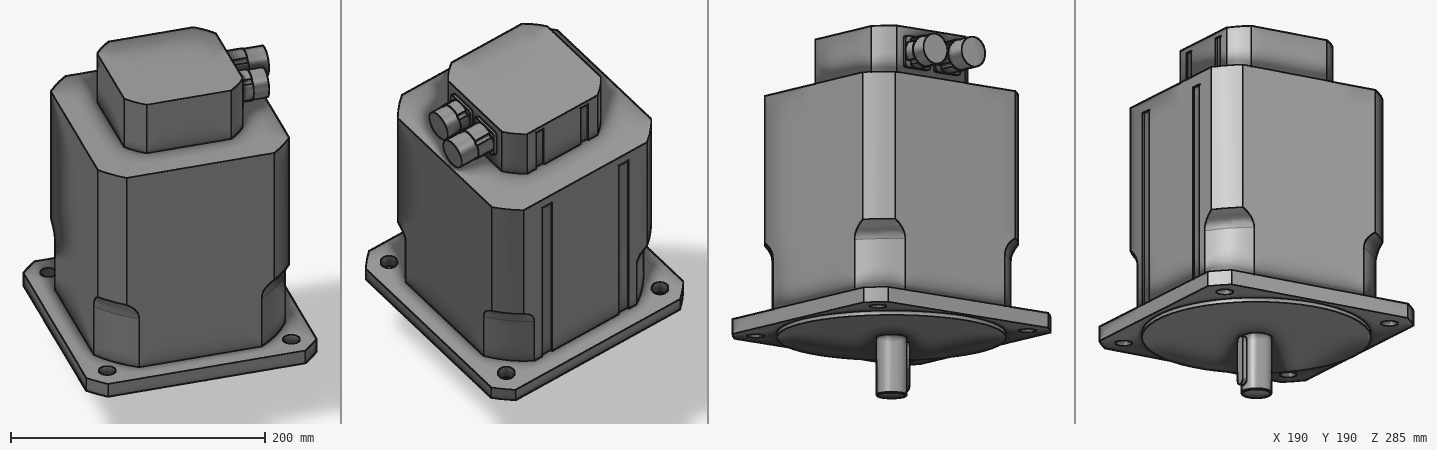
import cadquery as cq
import math

total_height = 285.0
boss_bottom = 46.7
flange_bottom = 50.2
flange_thickness = 12.0
flange_top = flange_bottom + flange_thickness
body_top = 240.0

diagonal_angle = 45

flange_width = 190.0
flange_corner_radius = 125.0
boss_diameter = 180.0
bolt_circle_radius = 107.5
bolt_hole_diameter = 13.5
bolt_count = 4

body_width = 158.0
body_corner_radius = 99.8
relief_radius = 93.8
relief_straight_top = 107.5
relief_top = 122.0

cap_width = 98.0
cap_corner_radius = 60.0

strip_depth = 1.5
body_strip_width = 10.0
body_strip_offset = 38.0
body_strip_top_gap = 9.0
cap_strip_width = 7.5
cap_strip_offset = 22.0
cap_strip_top_gap = 4.3

shaft_diameter = 24.0
shaft_chamfer = 0.9
key_width = 8.0
key_length = 40.0
key_bottom = 5.5
key_reach = 15.0

connector_height = 265.0
ring_diameter = 25.0
base_width = ring_diameter
base_thickness = 2.5
base_corner_radius = 2.7
sleeve_diameter = 24.0
groove_diameter = 4.0
groove_count = 4
connector_spacing = 30.8
long_ring_length = 14.8
long_sleeve_length = 16.5
short_ring_length = 8.8
short_sleeve_length = 12.8


def rounded_square(width, corner_radius, bottom, top):
    """Square prism whose corners are cut by a cylinder about Z."""
    height = top - bottom
    square = cq.Workplane("XY").workplane(offset=bottom).rect(width, width).extrude(height)
    cylinder = cq.Workplane("XY").workplane(offset=bottom).circle(corner_radius).extrude(height)
    return square.intersect(cylinder)


def make_flange():
    flange = rounded_square(flange_width, flange_corner_radius, flange_bottom, flange_top)
    boss = (
        cq.Workplane("XY")
        .workplane(offset=boss_bottom)
        .circle(boss_diameter / 2)
        .extrude(flange_bottom - boss_bottom)
    )
    bolt_holes = (
        cq.Workplane("XY")
        .workplane(offset=flange_bottom)
        .polarArray(bolt_circle_radius, diagonal_angle, 360, bolt_count)
        .circle(bolt_hole_diameter / 2)
        .extrude(flange_thickness)
    )
    return flange.union(boss).cut(bolt_holes)


def make_body():
    """Square body cut by a revolved profile that steps in through a concave arc."""
    step_depth = body_corner_radius - relief_radius
    step_height = relief_top - relief_straight_top
    arc_radius = (step_depth**2 + step_height**2) / (2 * step_depth)
    half_angle = math.asin(step_height / arc_radius) / 2
    arc_middle = (
        relief_radius + arc_radius * (1 - math.cos(half_angle)),
        relief_straight_top + arc_radius * math.sin(half_angle),
    )
    envelope = (
        cq.Workplane("XZ")
        .moveTo(0, flange_top)
        .lineTo(relief_radius, flange_top)
        .lineTo(relief_radius, relief_straight_top)
        .threePointArc(arc_middle, (body_corner_radius, relief_top))
        .lineTo(body_corner_radius, body_top)
        .lineTo(0, body_top)
        .close()
        .revolve(360, (0, 0, 0), (0, 1, 0))
    )
    square = (
        cq.Workplane("XY")
        .workplane(offset=flange_top)
        .rect(body_width, body_width)
        .extrude(body_top - flange_top)
    )
    return square.intersect(envelope)


def make_strips(block_width, strip_width, offset, bottom, top):
    """Cutters for a pair of flat vertical strips in the -X face of a square block."""
    return (
        cq.Workplane("YZ")
        .workplane(offset=-block_width / 2)
        .pushPoints([(side * offset, (bottom + top) / 2) for side in (-1, 1)])
        .rect(strip_width, top - bottom)
        .extrude(strip_depth)
    )


def make_shaft():
    shaft = (
        cq.Workplane("XY")
        .circle(shaft_diameter / 2)
        .extrude(boss_bottom)
        .faces("<Z")
        .chamfer(shaft_chamfer)
    )
    key = (
        cq.Workplane("YZ")
        .workplane(offset=-key_reach)
        .center(0, key_bottom + key_length / 2)
        .slot2D(key_length, key_width, 90)
        .extrude(key_reach)
    )
    return shaft.union(key)


def make_motor():
    cap = rounded_square(cap_width, cap_corner_radius, body_top, total_height)
    body_strips = make_strips(
        body_width, body_strip_width, body_strip_offset, flange_top, body_top - body_strip_top_gap
    )
    cap_strips = make_strips(
        cap_width, cap_strip_width, cap_strip_offset, body_top, total_height - cap_strip_top_gap
    )
    motor = make_flange().union(make_body()).union(cap).union(make_shaft())
    return motor.cut(body_strips).cut(cap_strips)


def make_connector(x, ring_length, sleeve_length):
    """Connector that stands on the +Y face of the cap."""
    base_plane = cq.Plane(
        origin=(x, cap_width / 2, connector_height), xDir=(1, 0, 0), normal=(0, 1, 0)
    )
    base = (
        cq.Workplane(base_plane)
        .rect(base_width, base_width)
        .extrude(base_thickness)
        .edges("|Y")
        .fillet(base_corner_radius)
    )
    grooves = (
        cq.Workplane(base_plane)
        .workplane(offset=base_thickness)
        .polarArray(ring_diameter / 2, diagonal_angle, 360, groove_count)
        .circle(groove_diameter / 2)
        .extrude(ring_length)
    )
    ring = (
        cq.Workplane(base_plane)
        .workplane(offset=base_thickness)
        .circle(ring_diameter / 2)
        .extrude(ring_length)
        .cut(grooves)
    )
    sleeve = (
        cq.Workplane(base_plane)
        .workplane(offset=base_thickness + ring_length)
        .circle(sleeve_diameter / 2)
        .extrude(sleeve_length)
    )
    return base.union(ring).union(sleeve)


motor = make_motor()
connectors = [
    make_connector(x, ring_length, sleeve_length)
    for x, ring_length, sleeve_length in (
        (-connector_spacing / 2, long_ring_length, long_sleeve_length),
        (connector_spacing / 2, short_ring_length, short_sleeve_length),
    )
]

result = cq.Compound.makeCompound([motor.val(), *[connector.val() for connector in connectors]])